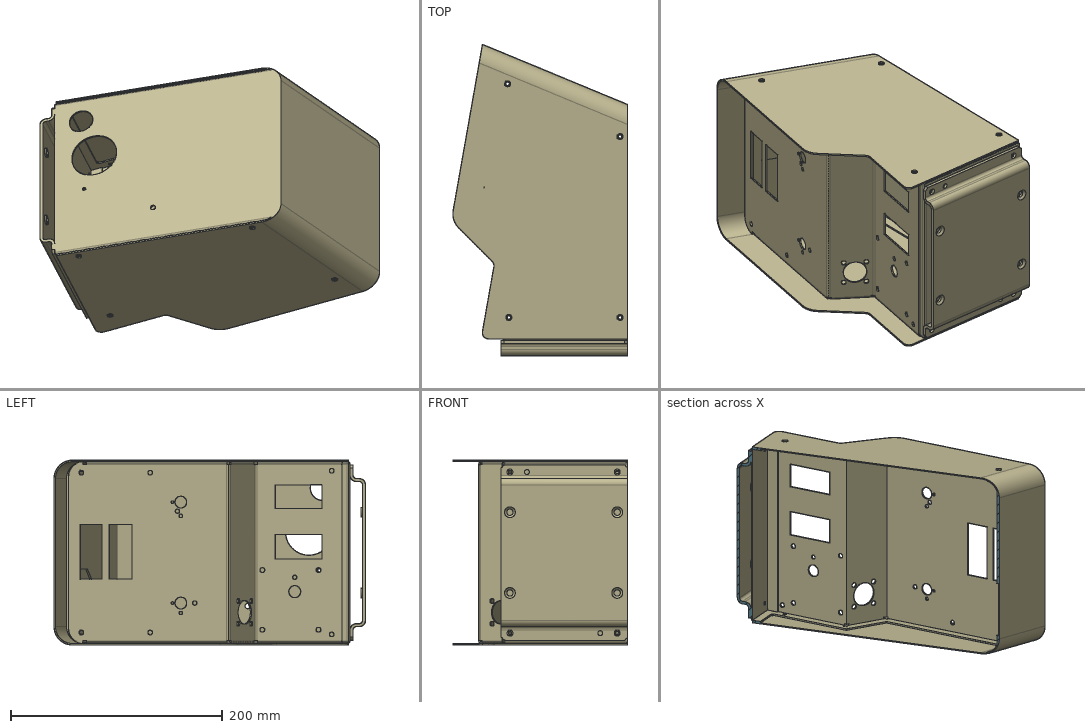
import cadquery as cq
import math


OVERALL_DEPTH = 295.13
OVERALL_HEIGHT = 175.27
SHEET = 1.5
HALF_INSIDE = OVERALL_HEIGHT / 2 - SHEET
CUT_REACH = 4.5

COVER_FRONT_Y = 16.0
COVER_BACK_LEFT_X = -137.6
BACK_SLANT = 22.5
SIDE_TILT = 10.0
BACK_BEND_RADIUS = 17.5
COVER_NOTCH_X = -126.3
COVER_NOTCH_Y = 87.4
NOTCH_SLANT = 45.0
COVER_FRONT_RADIUS = 6.0
COVER_NOTCH_RADIUS = 6.0
COVER_NOSE_RADIUS = 18.7
COVER_SCREWS = [(-113.7, 257.7), (-7.2, 207.7), (-112.5, 36.4), (-7.2, 36.4)]
COVER_SCREW_DIAMETER = 5.6
FLANGE_HOLE_DIAMETER = 3.2

FRAME_FRONT_Y = 14.7
FLANGE_WIDTH = 10.0
FLANGE_BEND_RADIUS = 2.5
FRAME_LIP = 13.0
FRONT_BEND_RADIUS = 2.6
BACK_CORNER_RADIUS = 1.0
INLET_LEFT_X = -98.0
INLET_RIGHT_X = -60.0
INLET_TOP_Z = -15.5
INLET_BOTTOM_Z = -67.0
INLET_CORNER = 9.0
VENT_DIAMETER = 44.0
VENT_Y = 53.7
VENT_Z = 19.6
SIDE_HOLES = [(40.7, 61.0, 23.0), (43.8, -16.8, 3.0), (111.7, -50.6, 4.8)]

PANEL_NOSE = (-141.4, 129.3)
PANEL_INNER_CORNER = (-104.9, 103.9)
PANEL_FRONT_Y = 22.5
PANEL_BACK_Y = 281.4
PANEL_FLANGE_BACK_Y = 266.0
PANEL_CORNER_RADIUS = 14.0
INNER_BEND_RADIUS = 2.0
NOSE_BEND_RADIUS = INNER_BEND_RADIUS + SHEET
RELIEF_SIZE = 3.5
RELIEF_DEPTH = 2.75
PANEL_WINDOWS = [
    (260.05, 0.6, 20.7, 51.6),
    (232.0, 0.6, 21.5, 51.6),
    (63.5, 53.0, 44.4, 22.4),
    (63.5, 5.5, 44.4, 23.2),
]
PANEL_HOLES = [
    (175.1, 47.8, 11.2),
    (183.0, 47.8, 2.5),
    (178.3, 39.2, 4.0),
    (175.1, 34.7, 3.4),
    (175.1, -47.8, 11.2),
    (183.0, -47.8, 2.5),
    (175.1, -57.2, 3.2),
    (161.9, -47.8, 4.2),
    (67.2, -23.4, 4.0),
    (67.2, -37.0, 11.4),
]
PANEL_SCREW_DIAMETER = 4.4
PANEL_SCREWS = [(269.3, 75.7), (204.1, 75.7), (32.2, 77.5)]
KEYPAD_CENTER = (71.3, -44.8)
KEYPAD_HOLE_SPACING = (53.2, 56.5)
KEYPAD_HOLE_DIAMETER = 4.6
CONNECTOR_Y = 114.3
CONNECTOR_Z = -56.6
CONNECTOR_DIAMETER = 22.4
CONNECTOR_SCREW_SPACING = 21.5
CONNECTOR_SCREW_DIAMETER = 4.6

BRACKET_WIDTH = 120.0
BRACKET_SHEET = 3.0
BRACKET_HALF_HEIGHT = 83.1
BRACKET_WEB_Z = 70.2
BRACKET_INNER_BEND = 3.0
BRACKET_OUTER_BEND = BRACKET_INNER_BEND + BRACKET_SHEET
BRACKET_CHAMFER = 3.0
BRACKET_HOLE_X = (-111.5, -9.9)
BRACKET_HOLE_Z = 38.2
BRACKET_HOLE_DIAMETER = 6.0
COUNTERSINK_DIAMETER = 10.2
COLLAR_DIAMETER = 9.2
COLLAR_HEIGHT = 1.4
FLANGE_SCREW_Z = 76.3
FLANGE_SCREW_DIAMETER = 5.6
FLANGE_PILOT_DIAMETER = 3.2
DRAIN_X = (-95.4, -26.0)
DRAIN_DIAMETER = 4.6

tilt_run = math.tan(math.radians(SIDE_TILT))
slant_run = math.tan(math.radians(BACK_SLANT))
back_right_y = OVERALL_DEPTH + COVER_BACK_LEFT_X * slant_run


def strip(path, width, height):
    """Prism of a strip lying to the left of an open path, with mitred corners."""
    normals = []
    for (x0, y0), (x1, y1) in zip(path, path[1:]):
        length = math.hypot(x1 - x0, y1 - y0)
        normals.append(((y0 - y1) / length, (x1 - x0) / length))
    inner = []
    for i, (x, y) in enumerate(path):
        ax, ay = normals[max(i - 1, 0)]
        bx, by = normals[min(i, len(normals) - 1)]
        mitre = width / (1 + ax * bx + ay * by)
        inner.append((x + (ax + bx) * mitre, y + (ay + by) * mitre))
    outline = path + inner[::-1]
    return cq.Workplane("XY").polyline(outline).close().extrude(height / 2, both=True)


def round_vertical(body, corner, radius):
    """Rounds the vertical edge at a corner given in plan."""
    return body.edges(cq.NearestToPointSelector((*corner, 0))).fillet(radius)


def channel(path, height, upright_bends):
    """Sheet following a path, with flanges turned in at its top and bottom.

    upright_bends lists (corner, radius) for the path's corners that are rounded outside.
    """
    body = strip(path, FLANGE_WIDTH, height)
    for corner, radius in upright_bends:
        body = round_vertical(body, corner, radius)
    bends = []
    for (x0, y0), (x1, y1) in zip(path, path[1:]):
        for z in (-height / 2, height / 2):
            edge = cq.NearestToPointSelector(((x0 + x1) / 2, (y0 + y1) / 2, z))
            bends += body.edges(edge).vals()
    body = body.newObject(bends).fillet(FLANGE_BEND_RADIUS)
    hollow = strip(path, FLANGE_WIDTH, height - 2 * SHEET)
    return body.cut(hollow.cut(strip(path, SHEET, height)))


def rod(plane, center, diameter, start, length):
    """Cylinder along the normal of a named plane."""
    return cq.Workplane(plane).workplane(offset=start).center(*center).circle(diameter / 2).extrude(length)


def panel_x(y):
    """X of the control panel's outer face at a depth."""
    if y > PANEL_NOSE[1]:
        return PANEL_NOSE[0] + (y - PANEL_NOSE[1]) * tilt_run
    return PANEL_INNER_CORNER[0] - (PANEL_INNER_CORNER[1] - y) * tilt_run


def cover_envelope(inset):
    """Block with the cover's slanted back and rounded back edges, shrunk by an inset."""
    reach = 2 * OVERALL_DEPTH
    height = OVERALL_HEIGHT - 2 * inset
    block = cq.Workplane("XY").box(2 * reach, reach, height).translate((0, -reach / 2 - inset, 0))
    block = block.edges("|X and >Y").fillet(BACK_BEND_RADIUS - inset)
    return block.rotate((0, 0, 0), (0, 0, 1), -BACK_SLANT).translate((0, back_right_y, 0))


def cover():
    notch_run = math.tan(math.radians(NOTCH_SLANT))
    rise = OVERALL_DEPTH - COVER_NOTCH_Y
    lead = COVER_NOTCH_X - COVER_BACK_LEFT_X
    nose_y = COVER_NOTCH_Y + (lead + rise * tilt_run) / (notch_run + tilt_run)
    nose = (COVER_NOTCH_X - (nose_y - COVER_NOTCH_Y) * notch_run, nose_y)
    notch = (COVER_NOTCH_X, COVER_NOTCH_Y)
    front_left = (COVER_NOTCH_X - (COVER_NOTCH_Y - COVER_FRONT_Y) * tilt_run, COVER_FRONT_Y)
    outline = [
        (0, COVER_FRONT_Y),
        (0, back_right_y),
        (COVER_BACK_LEFT_X, OVERALL_DEPTH),
        nose,
        notch,
        front_left,
    ]
    plan = cq.Workplane("XY").polyline(outline).close().extrude(OVERALL_HEIGHT / 2, both=True)
    plan = round_vertical(plan, nose, COVER_NOSE_RADIUS)
    plan = round_vertical(plan, notch, COVER_NOTCH_RADIUS)
    plan = round_vertical(plan, front_left, COVER_FRONT_RADIUS)
    return plan.intersect(cover_envelope(0)).cut(cover_envelope(SHEET))


def frame():
    """Front, right and back walls, with lips behind the ends of the control panel."""
    step = SHEET / math.cos(math.radians(SIDE_TILT))
    back_inset = SHEET / math.cos(math.radians(BACK_SLANT))
    back_right = (0, back_right_y - back_inset)
    back_start_x = panel_x(back_right[1]) + step
    back_left_x = back_start_x / (1 + slant_run * tilt_run)
    back_left = (back_left_x, back_right[1] - back_left_x * slant_run)
    front_left = (panel_x(FRAME_FRONT_Y) + step, FRAME_FRONT_Y)
    front_lip_y = FRAME_FRONT_Y + FRAME_LIP
    back_lip_y = back_left[1] - FRAME_LIP
    path = [
        (panel_x(front_lip_y) + step, front_lip_y),
        front_left,
        (0, FRAME_FRONT_Y),
        back_right,
        back_left,
        (panel_x(back_lip_y) + step, back_lip_y),
    ]
    body = channel(path, 2 * HALF_INSIDE, [(front_left, FRONT_BEND_RADIUS)])
    inner_corner = (-SHEET, back_right[1] - back_inset + SHEET * slant_run)
    body = round_vertical(body, inner_corner, BACK_CORNER_RADIUS)
    body = body.intersect(cover_envelope(SHEET / 2))
    body = body.cut(rod("YZ", (VENT_Y, VENT_Z), VENT_DIAMETER, -2 * SHEET, 3 * SHEET))
    for y, z, diameter in SIDE_HOLES:
        body = body.cut(rod("YZ", (y, z), diameter, -FLANGE_WIDTH, 2 * FLANGE_WIDTH))
    return body.cut(inlet_opening())


def inlet_opening():
    """Power inlet opening in the back wall, with one cut-off upper corner."""
    outline = [
        (INLET_LEFT_X, INLET_BOTTOM_Z),
        (INLET_LEFT_X, INLET_TOP_Z),
        (INLET_RIGHT_X - INLET_CORNER, INLET_TOP_Z),
        (INLET_RIGHT_X, INLET_TOP_Z - INLET_CORNER),
        (INLET_RIGHT_X, INLET_BOTTOM_Z),
    ]
    start = cq.Workplane("XZ").workplane(offset=-back_right_y)
    return start.polyline(outline).close().extrude(-OVERALL_DEPTH)


def panel_cutter(solid, y, z):
    """Places a cutter made along Z square to the panel's tilted face."""
    solid = solid.rotate((0, 0, 0), (0, 1, 0), 90).rotate((0, 0, 0), (0, 0, 1), -SIDE_TILT)
    return solid.translate((panel_x(y), y, z))


def panel():
    flange_end = (panel_x(PANEL_FLANGE_BACK_Y), PANEL_FLANGE_BACK_Y)
    path = [
        flange_end,
        PANEL_NOSE,
        PANEL_INNER_CORNER,
        (panel_x(PANEL_FRONT_Y), PANEL_FRONT_Y),
    ]
    bends = [(PANEL_NOSE, NOSE_BEND_RADIUS), (PANEL_INNER_CORNER, INNER_BEND_RADIUS)]
    body = channel(path, 2 * HALF_INSIDE, bends).union(panel_tail(flange_end))
    for x, y in path[:3]:
        for side in (-1, 1):
            relief = cq.Workplane("XY").box(2 * RELIEF_SIZE, RELIEF_SIZE, 2 * RELIEF_DEPTH)
            body = body.cut(relief.translate((x, y, side * HALF_INSIDE)))
    return body


def panel_tail(flange_end):
    """Flat, unflanged back end of the panel, with rounded corners."""
    back_end = (panel_x(PANEL_BACK_Y), PANEL_BACK_Y)
    tail = strip([back_end, flange_end], SHEET, 2 * HALF_INSIDE)
    for z in (-HALF_INSIDE, HALF_INSIDE):
        corner = cq.NearestToPointSelector((back_end[0] + SHEET / 2, PANEL_BACK_Y, z))
        tail = tail.edges(corner).fillet(PANEL_CORNER_RADIUS)
    return tail


def panel_openings():
    tilt_cosine = math.cos(math.radians(SIDE_TILT))
    cuts = cq.Workplane("XY")
    for y, z, size_y, size_z in PANEL_WINDOWS:
        window = cq.Workplane("XY").box(size_z, size_y / tilt_cosine, 2 * CUT_REACH)
        cuts = cuts.add(panel_cutter(window, y, z))
    holes = list(PANEL_HOLES)
    for y, z in PANEL_SCREWS:
        holes += [(y, side * z, PANEL_SCREW_DIAMETER) for side in (-1, 1)]
    for side_y in (-0.5, 0.5):
        for side_z in (-0.5, 0.5):
            y = KEYPAD_CENTER[0] + side_y * KEYPAD_HOLE_SPACING[0]
            z = KEYPAD_CENTER[1] + side_z * KEYPAD_HOLE_SPACING[1]
            holes.append((y, z, KEYPAD_HOLE_DIAMETER))
    for y, z, diameter in holes:
        hole = cq.Workplane("XY").circle(diameter / 2).extrude(CUT_REACH, both=True)
        cuts = cuts.add(panel_cutter(hole, y, z))
    return cuts.add(connector_openings()).combine()


def connector_openings():
    """Round connector opening and its four screw holes in the panel's angled middle face."""
    run_x = PANEL_INNER_CORNER[0] - PANEL_NOSE[0]
    run_y = PANEL_INNER_CORNER[1] - PANEL_NOSE[1]
    center_x = PANEL_NOSE[0] + (CONNECTOR_Y - PANEL_NOSE[1]) * run_x / run_y
    face = cq.Plane((center_x, CONNECTOR_Y, CONNECTOR_Z), (run_x, run_y, 0), (run_y, -run_x, 0))
    opening = cq.Workplane(face).circle(CONNECTOR_DIAMETER / 2).extrude(CUT_REACH, both=True)
    screws = cq.Workplane(face).rect(CONNECTOR_SCREW_SPACING, CONNECTOR_SCREW_SPACING, forConstruction=True)
    screws = screws.vertices().circle(CONNECTOR_SCREW_DIAMETER / 2).extrude(CUT_REACH, both=True)
    return opening.union(screws)


def bracket():
    """Hat section, drawn in the YZ plane and run along X."""
    flange_y = FRAME_FRONT_Y - BRACKET_SHEET
    top = BRACKET_HALF_HEIGHT
    web = BRACKET_WEB_Z
    outer = [(flange_y, top), (flange_y, web), (0, web), (0, -web), (flange_y, -web), (flange_y, -top)]
    inner_web = web - BRACKET_SHEET
    inner = [
        (FRAME_FRONT_Y, -top),
        (FRAME_FRONT_Y, -inner_web),
        (BRACKET_SHEET, -inner_web),
        (BRACKET_SHEET, inner_web),
        (FRAME_FRONT_Y, inner_web),
        (FRAME_FRONT_Y, top),
    ]
    body = cq.Workplane("YZ").polyline(outer + inner).close().extrude(-BRACKET_WIDTH)
    middle_x = -BRACKET_WIDTH / 2
    for side in (-1, 1):
        for y, z, radius in (
            (flange_y, web, BRACKET_INNER_BEND),
            (0, web, BRACKET_OUTER_BEND),
            (FRAME_FRONT_Y, inner_web, BRACKET_OUTER_BEND),
            (BRACKET_SHEET, inner_web, BRACKET_INNER_BEND),
        ):
            body = body.edges(cq.NearestToPointSelector((middle_x, y, side * z))).fillet(radius)
        for x in (-BRACKET_WIDTH, 0):
            corner = cq.NearestToPointSelector((x, flange_y + BRACKET_SHEET / 2, side * top))
            body = body.edges(corner).chamfer(BRACKET_CHAMFER)
        for x in BRACKET_HOLE_X:
            body = add_collared_hole(body, x, side * BRACKET_HOLE_Z)
            body = body.cut(
                rod("XZ", (x, side * FLANGE_SCREW_Z), FLANGE_SCREW_DIAMETER, -FRAME_FRONT_Y, BRACKET_SHEET)
            )
    for x, side in zip(DRAIN_X, (1, -1)):
        body = body.cut(rod("XZ", (x, side * FLANGE_SCREW_Z), DRAIN_DIAMETER, -FRAME_FRONT_Y, BRACKET_SHEET))
    return body


def add_collared_hole(body, x, z):
    """Countersunk hole with a raised collar on the inner face."""
    depth = BRACKET_SHEET + COLLAR_HEIGHT
    body = body.union(rod("XZ", (x, z), COLLAR_DIAMETER, -depth, COLLAR_HEIGHT))
    body = body.cut(rod("XZ", (x, z), BRACKET_HOLE_DIAMETER, -depth, depth))
    sink = (COUNTERSINK_DIAMETER - BRACKET_HOLE_DIAMETER) / 2
    mouth = cq.Workplane("XZ").center(x, z).circle(COUNTERSINK_DIAMETER / 2)
    cone = mouth.workplane(offset=-sink).circle(BRACKET_HOLE_DIAMETER / 2).loft()
    return body.cut(cone)


housing = frame().union(panel()).cut(panel_openings())
for x in BRACKET_HOLE_X:
    for z in (-FLANGE_SCREW_Z, FLANGE_SCREW_Z):
        housing = housing.cut(rod("XZ", (x, z), FLANGE_PILOT_DIAMETER, -FRAME_FRONT_Y - SHEET, 2 * SHEET))
shell = cover()
for screw in COVER_SCREWS:
    housing = housing.cut(rod("XY", screw, FLANGE_HOLE_DIAMETER, -HALF_INSIDE, 2 * HALF_INSIDE))
    shell = shell.cut(rod("XY", screw, COVER_SCREW_DIAMETER, -OVERALL_HEIGHT / 2, OVERALL_HEIGHT))

result = housing.union(shell).union(bracket())